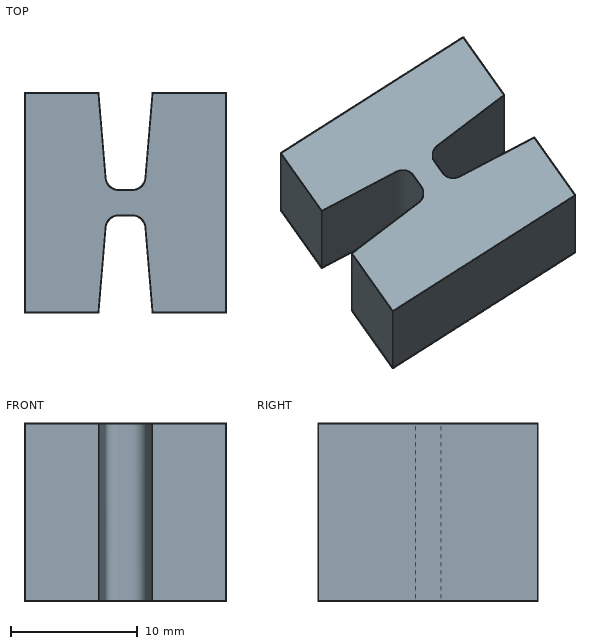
import cadquery as cq
import math

width = 15.85
length = 17.33
height = 14.0

mouth_width = 4.25
web_thickness = 2.03
wall_draft_degrees = 4.8
floor_corner_radius = 1.0

slot_depth = (length - web_thickness) / 2
floor_width = mouth_width - 2 * slot_depth * math.tan(math.radians(wall_draft_degrees))


def tapered_slot(side):
    """Full-height slot cutter opening on the -Y (side=-1) or +Y (side=1) face."""
    mouth_y = side * length / 2
    floor_y = side * web_thickness / 2
    outline = [
        (-mouth_width / 2, mouth_y),
        (-floor_width / 2, floor_y),
        (floor_width / 2, floor_y),
        (mouth_width / 2, mouth_y),
    ]
    cutter = cq.Workplane("XY").polyline(outline).close().extrude(height)
    floor_face = "<Y" if side > 0 else ">Y"
    return cutter.faces(floor_face).edges("|Z").fillet(floor_corner_radius)


result = cq.Workplane("XY").box(width, length, height, centered=(True, True, False))
for side in (-1, 1):
    result = result.cut(tapered_slot(side))